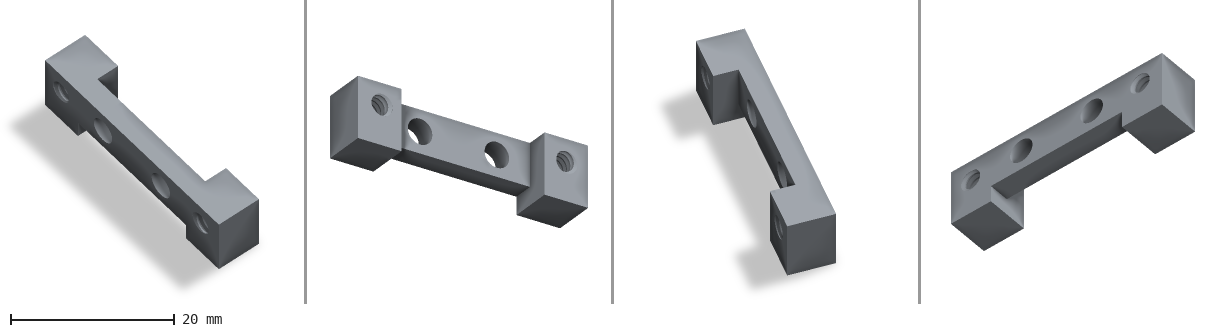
import cadquery as cq
import math

LENGTH = 33.53
DEPTH = 6.34
HEIGHT = 8.63

END_BLOCK_LENGTH = 6.35
BAR_DEPTH = 3.05
BAR_HEIGHT = 6.09

HOLE_DROP = 3.05
HOLE_Z = HEIGHT / 2 - HOLE_DROP
PLAIN_HOLE_SPACING = 11.18
PLAIN_HOLE_DIAMETER = 3.57
TAPPED_HOLE_SPACING = 26.96

INCH = 25.4
THREADS_PER_INCH = 32
THREAD_PITCH = INCH / THREADS_PER_INCH
BASIC_THREAD_RATIO = 1.0825
MAJOR_DIAMETER = 3.505
MINOR_DIAMETER = MAJOR_DIAMETER - BASIC_THREAD_RATIO * THREAD_PITCH
ROOT_WIDTH = THREAD_PITCH / 8
FLANK_ANGLE = 30
RIDGE_OVERLAP = 0.08

LEFT_GROOVE_ANGLE = 225
RIGHT_GROOVE_ANGLE = 172

FRONT_Y = -DEPTH / 2


def make_body():
    """Block relieved at the back and underneath between its end blocks."""
    gap = LENGTH - 2 * END_BLOCK_LENGTH
    back_relief = cq.Workplane("XY").box(gap, DEPTH, HEIGHT).translate((0, BAR_DEPTH, 0))
    lower_relief = cq.Workplane("XY").box(gap, DEPTH, HEIGHT).translate((0, 0, -BAR_HEIGHT))
    return cq.Workplane("XY").box(LENGTH, DEPTH, HEIGHT).cut(back_relief).cut(lower_relief)


def drill_plain_hole(body, x):
    """Cut a round through hole along Y."""
    bore = (
        cq.Workplane("XZ", origin=(x, FRONT_Y, HOLE_Z))
        .circle(PLAIN_HOLE_DIAMETER / 2)
        .extrude(-DEPTH)
    )
    return body.cut(bore)


def make_tap(x, groove_angle):
    """Threaded plug with a right-hand ridge, reaching one pitch past the block at both ends."""
    plug_length = DEPTH + 2 * THREAD_PITCH
    minor_radius = MINOR_DIAMETER / 2
    major_radius = MAJOR_DIAMETER / 2
    inner_radius = minor_radius - RIDGE_OVERLAP
    flank_run = (major_radius - inner_radius) * math.tan(math.radians(FLANK_ANGLE))
    mouth_width = ROOT_WIDTH + 2 * flank_run
    helix = cq.Wire.makeHelix(THREAD_PITCH, plug_length, minor_radius)
    profile = cq.Workplane("XZ").polyline([
        (inner_radius, -mouth_width / 2),
        (major_radius, -ROOT_WIDTH / 2),
        (major_radius, ROOT_WIDTH / 2),
        (inner_radius, mouth_width / 2),
    ]).close()
    ridge = profile.sweep(cq.Workplane(helix), isFrenet=True)
    plug = cq.Workplane("XY").circle(minor_radius).extrude(plug_length).union(ridge, clean=False)
    return (
        plug.rotate((0, 0, 0), (0, 0, 1), -groove_angle)
        .rotate((0, 0, 0), (1, 0, 0), -90)
        .translate((x, FRONT_Y - THREAD_PITCH, HOLE_Z))
    )


result = make_body()
for side in (-1, 1):
    result = drill_plain_hole(result, side * PLAIN_HOLE_SPACING / 2)
for side, groove_angle in ((-1, LEFT_GROOVE_ANGLE), (1, RIGHT_GROOVE_ANGLE)):
    result = result.cut(make_tap(side * TAPPED_HOLE_SPACING / 2, groove_angle), clean=False)